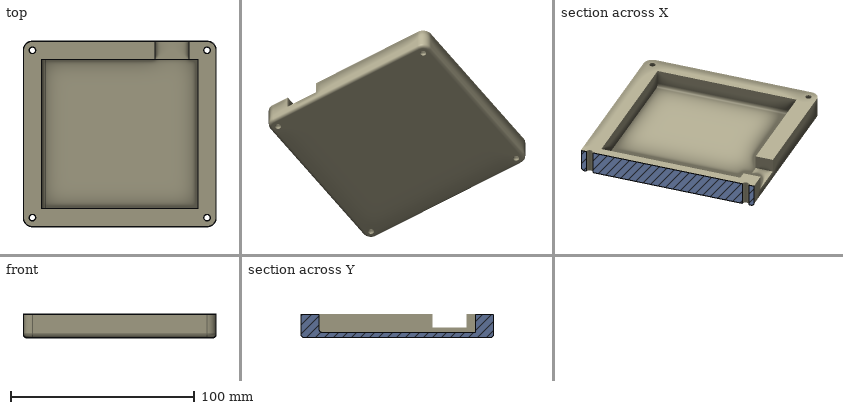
import cadquery as cq

length = 105.2
width = 101.2
height = 13.0
corner_radius = 5.0
bottom_fillet = 2.0

wall_thickness = 10.0
pocket_length = length - 2 * wall_thickness
pocket_width = width - 2 * wall_thickness
floor_thickness = 3.0

floor_fillet = 2.0

notch_width = 18.5
notch_center_x = 28.55
notch_depth = 7.5

hole_diameter = 3.4
hole_spacing_x = length - 2 * corner_radius
hole_spacing_y = width - 2 * corner_radius


def make_body():
    """Rounded block resting on Z = 0, with its bottom edge filleted."""
    block = cq.Workplane("XY").box(length, width, height, centered=(True, True, False))
    return block.edges("|Z").fillet(corner_radius).faces("<Z").edges().fillet(bottom_fillet)


def make_pocket():
    """Volume removed for the pocket, with the lower edge at its -X wall rounded."""
    pocket_depth = height - floor_thickness
    pocket = (
        cq.Workplane("XY", origin=(0, 0, floor_thickness))
        .box(pocket_length, pocket_width, pocket_depth, centered=(True, True, False))
    )
    return pocket.faces("<X").edges("<Z").fillet(floor_fillet)


def make_notch():
    """Volume removed for the notch, from the pocket out through the +Y wall."""
    notch_center_y = (width - wall_thickness) / 2
    return (
        cq.Workplane("XY", origin=(notch_center_x, notch_center_y, height - notch_depth))
        .box(notch_width, wall_thickness, notch_depth, centered=(True, True, False))
    )


def make_screw_holes():
    """Four cylinders running the full height at the corners."""
    return (
        cq.Workplane("XY")
        .rect(hole_spacing_x, hole_spacing_y, forConstruction=True)
        .vertices()
        .circle(hole_diameter / 2)
        .extrude(height)
    )


result = make_body().cut(make_pocket()).cut(make_notch()).cut(make_screw_holes())